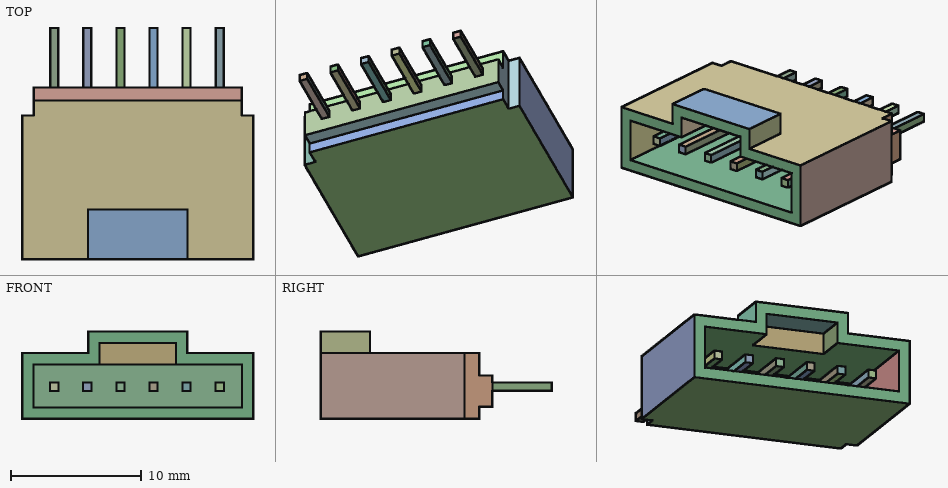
import cadquery as cq

pin_count = 6
pin_pitch = 2.54
pin_size = 0.635
wall = 0.89

housing_width = 17.78
housing_height = 5.08
shoulder_y = 11.05
housing_back_y = 12.2
neck_width = housing_width - 2 * wall

rib_back_y = 13.2
rib_bottom_z = 0.93
rib_height = 2.41

key_width = 3 * pin_pitch
key_length = 3.81
key_height = 1.65

cavity_depth = 8.9
cavity_width = neck_width
cavity_height = housing_height - 2 * wall
key_slot_width = key_width - 2 * wall
key_slot_depth = key_length - wall

pin_front_y = 1.27
pin_back_y = 17.78
pin_corner_offset = 2.48


def centered_block(width, y_start, y_end, z_start, z_end, center_x=0):
    """Block centred in X on center_x, spanning the given Y and Z ranges."""
    return (
        cq.Workplane("XY")
        .box(width, y_end - y_start, z_end - z_start, centered=(True, False, False))
        .translate((center_x, y_start, z_start))
    )


def make_housing():
    """Outer body: full-width front, narrower neck, rear rib and top key."""
    body = centered_block(housing_width, 0, shoulder_y, 0, housing_height)
    neck = centered_block(neck_width, 0, housing_back_y, 0, housing_height)
    rib = centered_block(neck_width, 0, rib_back_y, rib_bottom_z, rib_bottom_z + rib_height)
    key = centered_block(key_width, 0, key_length, 0, housing_height + key_height)
    return body.union(neck).union(rib).union(key)


def make_cavity():
    """Mating cavity, open at the front, with the slot that runs up into the key."""
    cavity_top_z = wall + cavity_height
    key_slot_top_z = housing_height + key_height - wall
    cavity = centered_block(cavity_width, 0, cavity_depth, wall, cavity_top_z)
    key_slot = centered_block(key_slot_width, 0, key_slot_depth, wall, key_slot_top_z)
    return cavity.union(key_slot)


def make_pin(center_x):
    """Straight square pin running through the rear wall."""
    half_size = pin_size / 2
    return centered_block(
        pin_size,
        pin_front_y,
        pin_back_y,
        pin_corner_offset - half_size,
        pin_corner_offset + half_size,
        center_x,
    )


result = make_housing().cut(make_cavity())
first_pin_x = pin_corner_offset - housing_width / 2
for pin_index in range(pin_count):
    result = result.union(make_pin(first_pin_x + pin_index * pin_pitch))